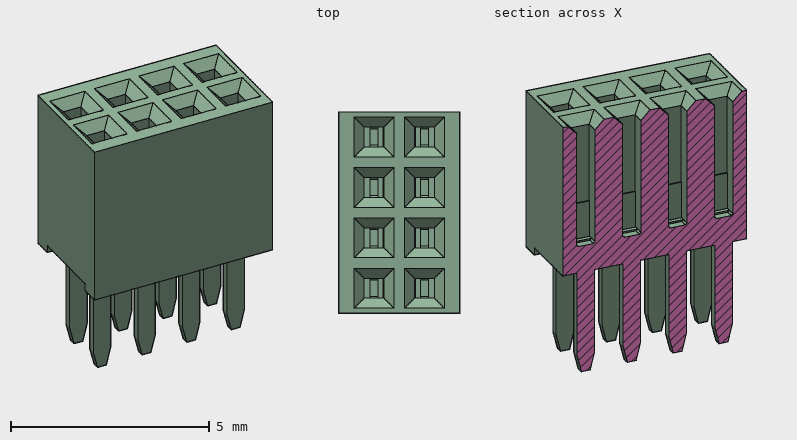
import cadquery as cq

columns = 2
rows = 4
housing_width = 3.05
housing_length = 5.08
pitch = housing_length / rows
total_height = 7
housing_height = 4.4
foot_width = 0.51
foot_height = 0.2

funnel_opening = 1.0
funnel_depth = 0.25
pocket_side = funnel_opening / 2
pocket_floor = 1.0
ledge_width = 0.03
ledge_height = 1.0

pin_thickness = 0.2
pin_width = pocket_side
pin_bottom = housing_height - total_height
bottom_tip_width = pin_width / 2
bottom_taper = pin_width

recess_floor_width = 0.41
recess_depth = (pin_width - recess_floor_width) / 2


def make_housing():
    """Rectangular block with a channel underneath, leaving a foot along each long side."""
    block = cq.Workplane("XY").box(
        housing_width, housing_length, housing_height, centered=(True, True, False)
    )
    channel_width = housing_width - 2 * foot_width
    channel = cq.Workplane("XY").box(
        channel_width, housing_length, foot_height, centered=(True, True, False)
    )
    return block.cut(channel)


def make_socket():
    """Volume removed for one socket, centred on the Z axis."""
    funnel_base = housing_height - funnel_depth
    funnel = (
        cq.Workplane("XY", origin=(0, 0, funnel_base))
        .rect(pocket_side, pocket_side)
        .workplane(offset=funnel_depth)
        .rect(funnel_opening, funnel_opening)
        .loft()
    )
    pocket = cq.Workplane("XY", origin=(0, 0, pocket_floor)).box(
        pocket_side, pocket_side, funnel_base - pocket_floor, centered=(True, True, False)
    )
    return funnel.union(pocket)


def make_ledge(inward):
    """Thin step low on the pocket wall nearest the housing centre; inward is +1 or -1 along X."""
    ledge_x = inward * (pocket_side - ledge_width) / 2
    return cq.Workplane("XY", origin=(ledge_x, 0, pocket_floor)).box(
        ledge_width, pocket_side, ledge_height, centered=(True, True, False)
    )


def make_blade(half_outline):
    """Plate of pin thickness, from the +Y half of a YZ outline that is mirrored about the Z axis."""
    mirrored = [(-y, z) for y, z in reversed(half_outline)]
    return (
        cq.Workplane("YZ")
        .polyline(half_outline + mirrored)
        .close()
        .extrude(pin_thickness / 2, both=True)
    )


def make_pin():
    """One blade, running from its pointed tip up to the bottom of the recess."""
    return make_blade([
        (bottom_tip_width / 2, pin_bottom),
        (pin_width / 2, pin_bottom + bottom_taper),
        (pin_width / 2, pocket_floor - recess_depth),
    ])


def make_recess():
    """Volume removed from the pocket floor over one blade."""
    return make_blade([
        (recess_floor_width / 2, pocket_floor - recess_depth),
        (pin_width / 2, pocket_floor),
    ])


result = make_housing()
socket = make_socket().union(make_recess())
pin = make_pin()
for column in range(columns):
    x = (column - (columns - 1) / 2) * pitch
    ledge = make_ledge(1 if x < 0 else -1)
    for row in range(rows):
        place = (x, (row - (rows - 1) / 2) * pitch, 0)
        result = result.cut(socket.translate(place))
        result = result.union(ledge.translate(place))
        result = result.union(pin.translate(place))